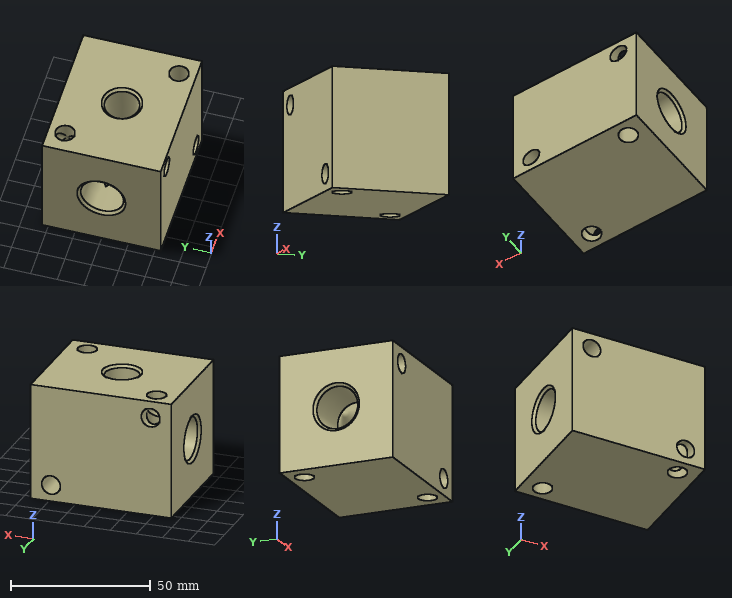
import cadquery as cq
import math

length = 54.0
side = 44.4

mount_diameter = 7.1
mount_end_inset = 7.95
mount_side_inset = 6.35

chamfer_angle = 45.0
taper = 1 / 16

end_port_mouth = 18.15
end_port_bore = 16.05
end_port_depth = 18.7
end_port_floor_height = 12.95

top_port_mouth = 14.75
top_port_bore = 12.75
top_port_depth = 17.3
top_port_floor_drop = 3.15


def port_cutter(mouth, bore, depth, tip_depth):
    """Port running down from the XY plane: bore ends at depth, floor peaks at tip_depth."""
    chamfer_depth = (mouth - bore) / 2 / math.tan(math.radians(chamfer_angle))
    bottom = bore - taper * (depth - chamfer_depth)
    return (
        cq.Workplane("XZ")
        .moveTo(0, 0)
        .lineTo(mouth / 2, 0)
        .lineTo(bore / 2, -chamfer_depth)
        .lineTo(bottom / 2, -depth)
        .lineTo(0, -tip_depth)
        .close()
        .revolve(360, (0, 0, 0), (0, 1, 0))
    )


def mount_holes(plane):
    """Two diagonally opposite through holes, drilled normal to the given plane."""
    offset_x = length / 2 - mount_end_inset
    offset_side = side / 2 - mount_side_inset
    return (
        cq.Workplane(plane)
        .pushPoints([(-offset_x, offset_side), (offset_x, -offset_side)])
        .circle(mount_diameter / 2)
        .extrude(side, both=True)
    )


block = cq.Workplane("XY").box(length, side, side)

top_port_tip_depth = top_port_depth + top_port_floor_drop
top_port = port_cutter(top_port_mouth, top_port_bore, top_port_depth, top_port_tip_depth)
top_port = top_port.translate((0, 0, side / 2))

end_port_tip_depth = end_port_depth - end_port_floor_height
end_port = port_cutter(end_port_mouth, end_port_bore, end_port_depth, end_port_tip_depth)
end_port = end_port.rotate((0, 0, 0), (0, 1, 0), -90).translate((-length / 2, 0, 0))

result = block.cut(top_port).cut(end_port)

for drilling_plane in ("XY", "XZ"):
    result = result.cut(mount_holes(drilling_plane))